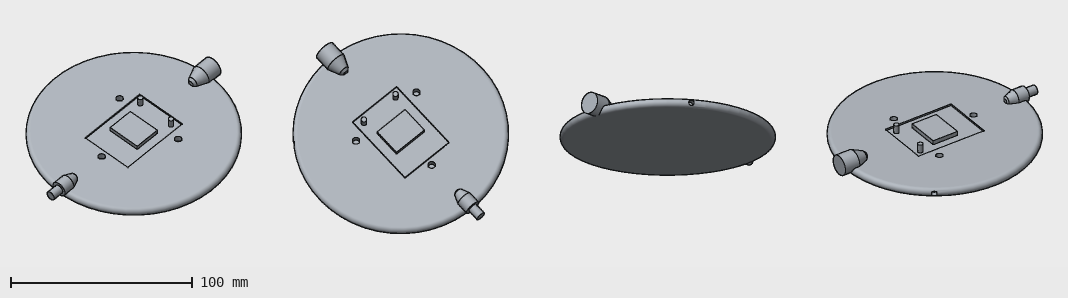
import cadquery as cq

disc_diameter = 118.7
disc_thickness = 5.0
rim_radius = disc_thickness / 2

pocket_width = 32.1
pocket_length = 44.0
pocket_depth = 1.0
pocket_floor = disc_thickness - pocket_depth
block_width = 20.3
block_length = 16.2
block_top = disc_thickness + 1.6
pin_diameter = 3.0
pin_spacing = 23.0
pin_y = 17.7
pin_top = disc_thickness + 4.0

hole_diameter = 4.0
hole_depth = 3.9
hole_count = 3
hole_circle_radius = 25.4
hole_circle_y = -0.5

rim_hole_diameter = 3.0
rim_hole_depth = 3.9
rim_hole_angle = 145

overall_length = 131
connector_axis_z = 6.0

rear_end_y = 63.9
rear_diameter = 12.0
rear_barrel_length = 7.3
rear_taper_length = 5.1
rear_taper_diameter = 6.3
rear_nose_length = 1.2
rear_nose_diameter = 3.4

front_end_y = rear_end_y - overall_length
stem_diameter = 5.5
stem_length = 5.2
front_diameter = 9.0
front_barrel_length = 5.4
front_taper_length = 4.0
front_taper_diameter = 5.0
front_nose_length = 0.6
front_nose_diameter = 2.6


def make_disc():
    flat_radius = disc_diameter / 2 - rim_radius
    return (
        cq.Workplane("YZ")
        .lineTo(flat_radius, 0)
        .threePointArc((disc_diameter / 2, rim_radius), (flat_radius, disc_thickness))
        .lineTo(0, disc_thickness)
        .close()
        .revolve(360, (0, 0), (0, 1))
    )


def cut_pocket(body):
    pocket = (
        cq.Workplane("XY", origin=(0, 0, pocket_floor))
        .rect(pocket_width, pocket_length)
        .extrude(pocket_depth)
    )
    return body.cut(pocket)


def cut_holes(body):
    holes = (
        cq.Workplane("XY", origin=(0, hole_circle_y, disc_thickness - hole_depth))
        .polarArray(hole_circle_radius, -90, 360, hole_count)
        .circle(hole_diameter / 2)
        .extrude(hole_depth)
    )
    return body.cut(holes)


def cut_rim_hole(body):
    hole = (
        cq.Workplane("YZ", origin=(disc_diameter / 2 - rim_hole_depth, 0, disc_thickness / 2))
        .circle(rim_hole_diameter / 2)
        .extrude(2 * rim_hole_depth)
        .rotate((0, 0, 0), (0, 0, 1), rim_hole_angle)
    )
    return body.cut(hole)


def make_block():
    return cq.Workplane("XY").rect(block_width, block_length).extrude(block_top)


def make_pins():
    centres = [(side * pin_spacing / 2, pin_y) for side in (-1, 1)]
    return cq.Workplane("XY").pushPoints(centres).circle(pin_diameter / 2).extrude(pin_top)


def make_connector(end_y, direction, sections):
    """Revolve (length, start diameter, end diameter) sections about the connector axis.

    The sections run from end_y towards the disc centre; direction is the sign of that Y travel.
    """
    profile = cq.Workplane("XY", origin=(0, 0, connector_axis_z)).moveTo(0, end_y)
    radius = 0
    y = end_y
    for length, start_diameter, end_diameter in sections:
        if start_diameter / 2 != radius:
            profile = profile.lineTo(start_diameter / 2, y)
        y += direction * length
        radius = end_diameter / 2
        profile = profile.lineTo(radius, y)
    return profile.lineTo(0, y).close().revolve(360, (0, 0), (0, 1))


rear_sections = [
    (rear_barrel_length, rear_diameter, rear_diameter),
    (rear_taper_length, rear_diameter, rear_taper_diameter),
    (rear_nose_length, rear_taper_diameter, rear_nose_diameter),
]
front_sections = [
    (stem_length, stem_diameter, stem_diameter),
    (front_barrel_length, front_diameter, front_diameter),
    (front_taper_length, front_diameter, front_taper_diameter),
    (front_nose_length, front_taper_diameter, front_nose_diameter),
]

body = (
    cut_holes(cut_pocket(make_disc()))
    .union(make_block())
    .union(make_pins())
    .union(make_connector(rear_end_y, -1.3, rear_sections))
    .union(make_connector(front_end_y, 1.3, front_sections))
)
result = cut_rim_hole(body)